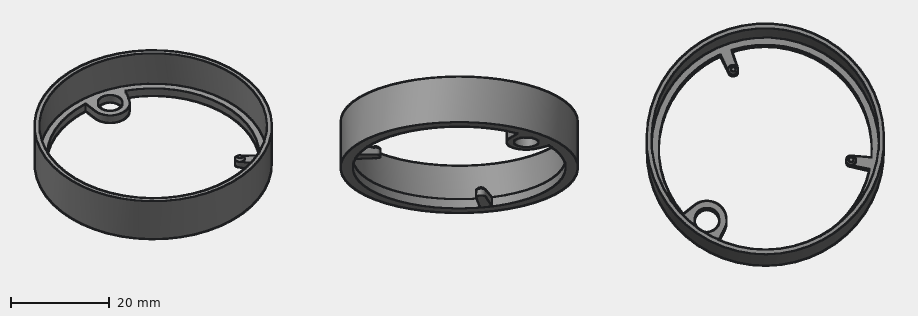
import cadquery as cq
import math

outer_radius = 24.0
wall_inner_radius = 46.0 / 2
ledge_inner_radius = 21.5
ring_height = 10.0
ledge_height = 2.0

lug_center_radius = 19.0
lug_end_radius = 4.0
lug_hole_radius = 2.5
lug_angle = 180.0

pin_center_radius = 17.5
pin_radius = 2.0 / 2
pin_tip_radius = 0.5
pin_tip_height = pin_radius - pin_tip_radius
pin_base_height = 0.55
pin_angles = (60.0, -60.0)

tab_root_radius = (outer_radius + wall_inner_radius) / 2


def make_ring():
    wall = cq.Workplane("XY").circle(outer_radius).circle(wall_inner_radius).extrude(ring_height)
    ledge = cq.Workplane("XY").circle(outer_radius).circle(ledge_inner_radius).extrude(ledge_height)
    return wall.union(ledge)


def make_tab(center_radius, end_radius):
    """Tab along +X with a round inner end and sides that point at the ring axis."""
    half_angle = math.asin(end_radius / center_radius)
    tangent_radius = center_radius * math.cos(half_angle)
    tangent_x = tangent_radius * math.cos(half_angle)
    tangent_y = tangent_radius * math.sin(half_angle)
    root_x = tab_root_radius * math.cos(half_angle)
    root_y = tab_root_radius * math.sin(half_angle)
    return (
        cq.Workplane("XY")
        .moveTo(root_x, -root_y)
        .lineTo(tangent_x, -tangent_y)
        .threePointArc((center_radius - end_radius, 0), (tangent_x, tangent_y))
        .lineTo(root_x, root_y)
        .threePointArc((tab_root_radius, 0), (root_x, -root_y))
        .close()
        .extrude(ledge_height)
    )


def make_lug():
    hole = cq.Workplane("XY").center(lug_center_radius, 0).circle(lug_hole_radius).extrude(ledge_height)
    return make_tab(lug_center_radius, lug_end_radius).cut(hole)


def make_underside_relief():
    """Wedge that slopes the arm's underside from the ledge up to the flat base of the pin."""
    return (
        cq.Workplane("XZ")
        .moveTo(ledge_inner_radius, 0)
        .lineTo(pin_center_radius, pin_base_height)
        .lineTo(pin_center_radius - pin_radius, pin_base_height)
        .lineTo(pin_center_radius - pin_radius, 0)
        .close()
        .extrude(pin_radius * 2, both=True)
    )


def make_pin_arm():
    arm = make_tab(pin_center_radius, pin_radius)
    tip = cq.Workplane(
        cq.Solid.makeCone(
            pin_radius,
            pin_tip_radius,
            pin_tip_height,
            pnt=cq.Vector(pin_center_radius, 0, ledge_height),
        )
    )
    return arm.cut(make_underside_relief()).union(tip)


def turn(body, angle):
    return body.rotate((0, 0, 0), (0, 0, 1), angle)


result = make_ring().union(turn(make_lug(), lug_angle))
for pin_angle in pin_angles:
    result = result.union(turn(make_pin_arm(), pin_angle))